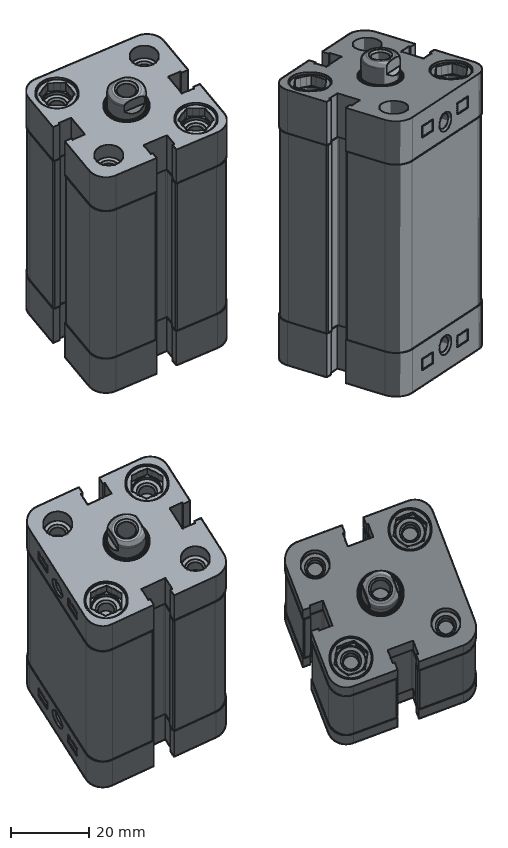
import cadquery as cq

TOTAL_HEIGHT = 85.0
ROD_PROJECTION = 6.0
CAP_HEIGHT = 12.5
CAP_TOP = TOTAL_HEIGHT - ROD_PROJECTION
BARREL_TOP = CAP_TOP - CAP_HEIGHT
BARREL_HEIGHT = BARREL_TOP - CAP_HEIGHT

CAP_WIDTH = 40.3
BARREL_INSET = 0.2
BARREL_WIDTH = CAP_WIDTH - 2 * BARREL_INSET
CORNER_RADIUS = 5.0

SLOT_MOUTH_WIDTH = 5.9
SLOT_CHANNEL_WIDTH = 7.0
SLOT_LIP = 2.0
SLOT_DEPTH = 5.7
SLOT_ANGLES = (-90, 0, 90)
MOUTH_BEVEL_WIDTH = 0.5
MOUTH_BEVEL_DEPTH = 0.25
BARREL_SLOT_ROUND = 0.3

PORT_DIAMETER = 4.2
PORT_CHAMFER = 0.6
PORT_DEPTH = 6.8
PORT_FROM_OUTER_END = 7.5
LABEL_LENGTH = 4.85
LABEL_HEIGHT = 3.15
LABEL_DEPTH = 0.25
LABEL_OFFSET = 8.0
LABEL_FROM_OUTER_END = 6.1

CORNER_OFFSET = 13.0
SCREW_POSITIONS = ((CORNER_OFFSET, CORNER_OFFSET), (-CORNER_OFFSET, -CORNER_OFFSET))
MOUNT_POSITIONS = ((-CORNER_OFFSET, CORNER_OFFSET), (CORNER_OFFSET, -CORNER_OFFSET))

THREAD_CORE = 4.2
THREAD_MOUTH = 5.3
THREAD_DEPTH = 4.25

MOUNT_BORE = 7.5
MOUNT_BORE_DEPTH = 4.6

SCREW_DIAMETER = 11.1
SCREW_HEIGHT = 9.5
SCREW_CHAMFER = 0.3
SCREW_SINK = 0.4
SOCKET_CORNERS = 9.2
HEX_RELIEF = 8.2
SOCKET_BORE = 7.5
HEX_DEPTH = 3.0
SOCKET_DEPTH = 4.0

ROD_DIAMETER = 10.0
ROD_END_ROUND = 1.3
ROD_FLAT_WIDTH = 8.0
ROD_FLAT_LENGTH = 3.2
ROD_THREAD_CORE = 4.9
ROD_THREAD_MOUTH = 6.0
ROD_THREAD_DEPTH = 11.9

GROOVE_MOUTH = 12.0
GROOVE_OUTER = 11.4
GROOVE_INNER = 10.9
GROOVE_LIP = 10.45


def countersunk_cutter(core, mouth, depth):
    """Blind hole pointing down from the origin, with a 45 degree countersink at its mouth."""
    sink = (mouth - core) / 2
    return (
        cq.Workplane("XZ")
        .lineTo(mouth / 2, 0)
        .lineTo(core / 2, -sink)
        .lineTo(core / 2, -depth)
        .lineTo(0, -depth)
        .close()
        .revolve(360, (0, 0, 0), (0, 1, 0))
    )


def square_block(width, height):
    return cq.Workplane("XY").rect(width, width).extrude(height).edges("|Z").fillet(CORNER_RADIUS)


def slot_cutter(mouth_width, channel_width, height):
    """Undercut slot that opens toward +X through the side face of a cap."""
    face = CAP_WIDTH / 2
    lip_x = face - SLOT_LIP
    upper = [
        (face, mouth_width / 2),
        (lip_x, mouth_width / 2),
        (lip_x, channel_width / 2),
        (face - SLOT_DEPTH, channel_width / 2),
    ]
    lower = [(x, -y) for x, y in reversed(upper)]
    return cq.Workplane("XY").polyline(upper + lower).close().extrude(height)


def cut_slots(block, slot):
    """Cut the slot into the +X, +Y and -Y sides."""
    for angle in SLOT_ANGLES:
        block = block.cut(slot.rotate((0, 0, 0), (0, 0, 1), angle))
    return block


def plain_cap():
    """End cap with its barrel side at Z = 0 and its outer end at the top."""
    cap = square_block(CAP_WIDTH, CAP_HEIGHT)
    cap = cut_slots(cap, slot_cutter(SLOT_MOUTH_WIDTH, SLOT_CHANNEL_WIDTH, CAP_HEIGHT))

    port = countersunk_cutter(PORT_DIAMETER, PORT_DIAMETER + 2 * PORT_CHAMFER, PORT_DEPTH)
    port = port.rotate((0, 0, 0), (0, 1, 0), -90)
    cap = cap.cut(port.translate((-CAP_WIDTH / 2, 0, CAP_HEIGHT - PORT_FROM_OUTER_END)))

    label_z = CAP_HEIGHT - LABEL_FROM_OUTER_END
    for label_y in (-LABEL_OFFSET, LABEL_OFFSET):
        pocket = cq.Workplane("XY").box(2 * LABEL_DEPTH, LABEL_LENGTH, LABEL_HEIGHT)
        cap = cap.cut(pocket.translate((-CAP_WIDTH / 2, label_y, label_z)))
    return cap


def make_bottom_cap():
    return plain_cap().mirror("XY").translate((0, 0, CAP_HEIGHT))


def make_barrel():
    """Barrel with slightly narrower slots, rounded at the floor and bevelled at the mouth."""
    mouth_width = SLOT_MOUTH_WIDTH - 2 * BARREL_INSET
    channel_width = SLOT_CHANNEL_WIDTH - 2 * BARREL_INSET
    slot = slot_cutter(mouth_width, channel_width, BARREL_HEIGHT)
    slot = slot.edges("|Z and <X").fillet(BARREL_SLOT_ROUND)

    face = BARREL_WIDTH / 2
    half_mouth = mouth_width / 2
    bevel = (
        cq.Workplane("XY")
        .moveTo(face, half_mouth + MOUTH_BEVEL_WIDTH)
        .lineTo(face - MOUTH_BEVEL_DEPTH, half_mouth)
        .lineTo(face - MOUTH_BEVEL_DEPTH, -half_mouth)
        .lineTo(face, -half_mouth - MOUTH_BEVEL_WIDTH)
        .close()
        .extrude(BARREL_HEIGHT)
    )

    barrel = square_block(BARREL_WIDTH, BARREL_HEIGHT)
    barrel = cut_slots(barrel, slot)
    barrel = cut_slots(barrel, bevel)
    return barrel.translate((0, 0, CAP_HEIGHT))


def wiper_groove():
    """Ring cutter below Z = 0: conical outer wall, flat floor, conical lip beside the rod."""
    floor_z = -(GROOVE_MOUTH - GROOVE_OUTER) / 2
    lip_z = floor_z + (GROOVE_INNER - GROOVE_LIP) / 2
    return (
        cq.Workplane("XZ")
        .moveTo(ROD_DIAMETER / 2, 0)
        .lineTo(GROOVE_MOUTH / 2, 0)
        .lineTo(GROOVE_OUTER / 2, floor_z)
        .lineTo(GROOVE_INNER / 2, floor_z)
        .lineTo(GROOVE_LIP / 2, lip_z)
        .lineTo(ROD_DIAMETER / 2, lip_z)
        .close()
        .revolve(360, (0, 0, 0), (0, 1, 0))
    )


def make_top_cap():
    cap = plain_cap().translate((0, 0, BARREL_TOP))
    top = cq.Workplane("XY", origin=(0, 0, CAP_TOP))
    cap = cap.cut(top.circle(ROD_DIAMETER / 2).extrude(-CAP_HEIGHT))
    cap = cap.cut(wiper_groove().translate((0, 0, CAP_TOP)))
    cap = cap.cut(top.pushPoints(SCREW_POSITIONS).circle(SCREW_DIAMETER / 2).extrude(-SCREW_SINK - SCREW_HEIGHT))
    cap = cap.cut(top.pushPoints(MOUNT_POSITIONS).circle(MOUNT_BORE / 2).extrude(-MOUNT_BORE_DEPTH))
    thread = countersunk_cutter(THREAD_CORE, THREAD_MOUTH, THREAD_DEPTH)
    for x, y in MOUNT_POSITIONS:
        cap = cap.cut(thread.translate((x, y, CAP_TOP - MOUNT_BORE_DEPTH)))
    return cap


def make_screw(x, y):
    """Hollow socket screw: hexagon with relieved flats, then a round bore and a threaded hole."""
    screw = cq.Workplane("XY").circle(SCREW_DIAMETER / 2).extrude(-SCREW_HEIGHT)
    screw = screw.faces(">Z").chamfer(SCREW_CHAMFER)
    screw = screw.cut(cq.Workplane("XY").polygon(6, SOCKET_CORNERS).extrude(-HEX_DEPTH))
    screw = screw.cut(cq.Workplane("XY").circle(HEX_RELIEF / 2).extrude(-HEX_DEPTH))
    screw = screw.cut(cq.Workplane("XY").circle(SOCKET_BORE / 2).extrude(-SOCKET_DEPTH))
    thread = countersunk_cutter(THREAD_CORE, THREAD_MOUTH, THREAD_DEPTH)
    screw = screw.cut(thread.translate((0, 0, -SOCKET_DEPTH)))
    return screw.translate((x, y, CAP_TOP - SCREW_SINK))


def make_rod():
    rod_radius = ROD_DIAMETER / 2
    flat_x = ROD_FLAT_WIDTH / 2
    rod = cq.Workplane("XY", origin=(0, 0, BARREL_TOP)).circle(rod_radius).extrude(ROD_PROJECTION + CAP_HEIGHT)
    rod = rod.faces(">Z").edges().fillet(ROD_END_ROUND)

    flat_z = TOTAL_HEIGHT - ROD_FLAT_LENGTH
    for side in (-1, 1):
        flat = (
            cq.Workplane("XZ")
            .moveTo(side * flat_x, TOTAL_HEIGHT)
            .lineTo(side * flat_x, flat_z)
            .lineTo(side * rod_radius, flat_z - (rod_radius - flat_x))
            .lineTo(side * rod_radius, TOTAL_HEIGHT)
            .close()
            .extrude(rod_radius, both=True)
        )
        rod = rod.cut(flat)

    thread = countersunk_cutter(ROD_THREAD_CORE, ROD_THREAD_MOUTH, ROD_THREAD_DEPTH)
    return rod.cut(thread.translate((0, 0, TOTAL_HEIGHT)))


bottom_cap = make_bottom_cap()
barrel = make_barrel()
top_cap = make_top_cap()
rod = make_rod()
screws = [make_screw(x, y) for x, y in SCREW_POSITIONS]

result = cq.Compound.makeCompound(
    [bottom_cap.val(), barrel.val(), top_cap.val(), rod.val(), *[screw.val() for screw in screws]]
)